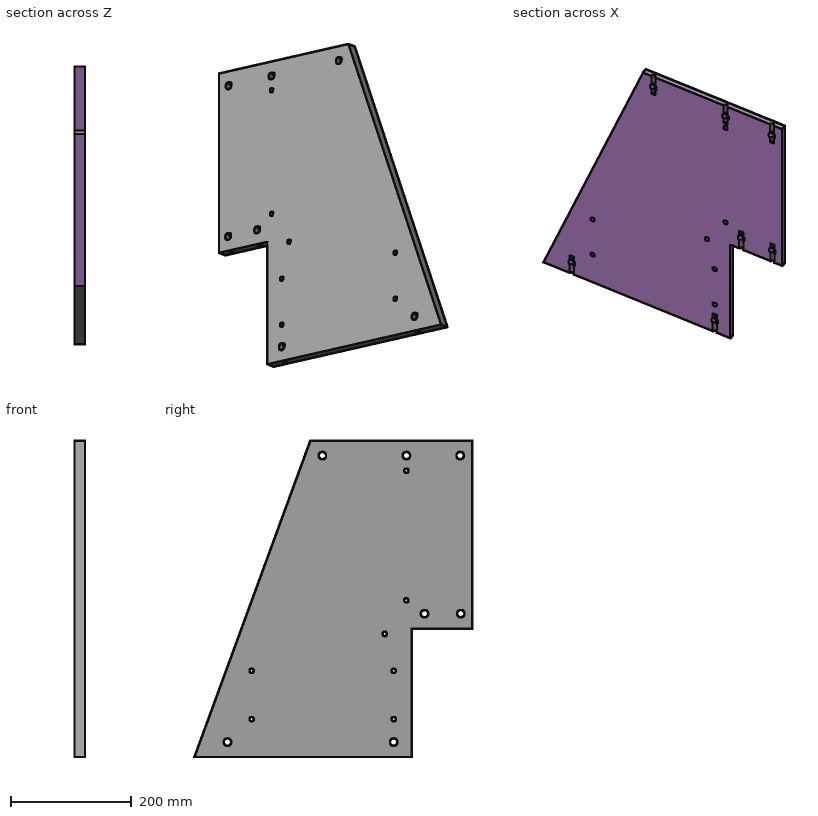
import cadquery as cq

THICKNESS = 18.0
DEPTH = 460.0
HEIGHT = 524.0
TOP_DEPTH = 268.0
NOTCH_DEPTH = 100.0
NOTCH_HEIGHT = 212.5

BACK = DEPTH / 2
FRONT = -DEPTH / 2
TOP = HEIGHT / 2
BOTTOM = -HEIGHT / 2
NOTCH_Y = BACK - NOTCH_DEPTH
NOTCH_Z = BOTTOM + NOTCH_HEIGHT

NUT_DIAMETER = 12.0
NUT_INSET = 25.0
TOP_NUT_SETBACKS = (20.0, 109.0, 248.0)
STEP_NUT_SETBACKS = (19.0, 79.0)
BOTTOM_NUT_SETBACKS = (130.0, 405.0)

BOLT_DIAMETER = 7.0
BOLT_DEPTH = 40.0

SCREW_DIAMETER = 7.0
UPPER_SCREW_DROPS = (50.0, 264.5)
SINGLE_SCREW_SETBACK = 145.0
SINGLE_SCREW_DROP = 320.0
LOWER_SCREW_SETBACKS = (130.0, 365.0)
LOWER_SCREW_DROPS = (381.0, 461.0)


def make_board():
    outline = [
        (BACK, TOP),
        (BACK - TOP_DEPTH, TOP),
        (FRONT, BOTTOM),
        (NOTCH_Y, BOTTOM),
        (NOTCH_Y, NOTCH_Z),
        (BACK, NOTCH_Z),
    ]
    return cq.Workplane("YZ").polyline(outline).close().extrude(THICKNESS / 2, both=True)


def cross_holes(points, diameter):
    """Cylinders along X that pass through the whole board at (y, z) points."""
    return cq.Workplane("YZ").pushPoints(points).circle(diameter / 2).extrude(THICKNESS / 2, both=True)


def nut_holes():
    points = [(BACK - setback, TOP - NUT_INSET) for setback in TOP_NUT_SETBACKS]
    points += [(BACK - setback, NOTCH_Z + NUT_INSET) for setback in STEP_NUT_SETBACKS]
    points += [(BACK - setback, BOTTOM + NUT_INSET) for setback in BOTTOM_NUT_SETBACKS]
    return cross_holes(points, NUT_DIAMETER)


def screw_holes():
    upper_setback = TOP_NUT_SETBACKS[1]
    points = [(BACK - upper_setback, TOP - drop) for drop in UPPER_SCREW_DROPS]
    points.append((BACK - SINGLE_SCREW_SETBACK, TOP - SINGLE_SCREW_DROP))
    for setback in LOWER_SCREW_SETBACKS:
        for drop in LOWER_SCREW_DROPS:
            points.append((BACK - setback, TOP - drop))
    return cross_holes(points, SCREW_DIAMETER)


def vertical_holes(setbacks, edge_z, depth):
    """Cylinders along Z at mid-thickness, starting on an edge; a negative depth runs downward."""
    points = [(0, BACK - setback) for setback in setbacks]
    edge = cq.Workplane("XY", origin=(0, 0, edge_z))
    return edge.pushPoints(points).circle(BOLT_DIAMETER / 2).extrude(depth)


def bolt_holes():
    """Bolt holes square to the horizontal edges, each crossing a nut hole and ending just past it."""
    top = vertical_holes(TOP_NUT_SETBACKS, TOP, -BOLT_DEPTH)
    step = vertical_holes(STEP_NUT_SETBACKS, NOTCH_Z, BOLT_DEPTH)
    bottom = vertical_holes(BOTTOM_NUT_SETBACKS, BOTTOM, BOLT_DEPTH)
    return top.union(step).union(bottom)


result = make_board().cut(nut_holes()).cut(screw_holes()).cut(bolt_holes())